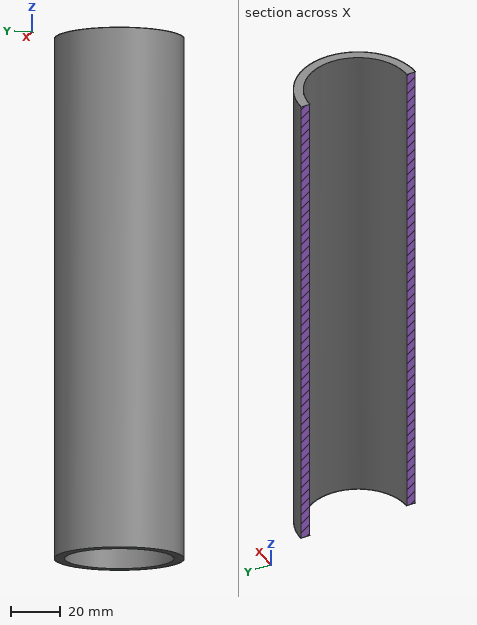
import cadquery as cq

length = 213.0
outer_diameter = 52.5
wall_thickness = 4.0
bore_diameter = outer_diameter - 2 * wall_thickness

result = (
    cq.Workplane("XY")
    .circle(outer_diameter / 2)
    .circle(bore_diameter / 2)
    .extrude(length)
)